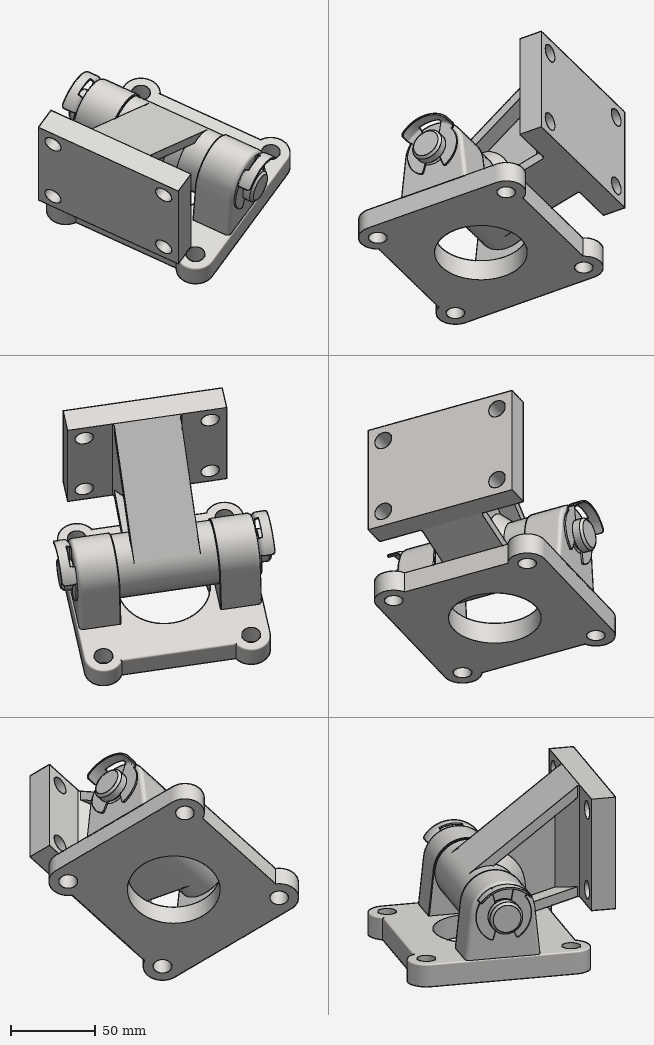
import cadquery as cq
import math

base_size = 112.0
base_waist = 100.0
base_thickness = 14.0
base_hole_spacing = 89.0
base_bore_diameter = 55.0
base_edge_fillet = 1.0
bolt_hole_diameter = 11.0
corner_radius = (base_size - base_hole_spacing) / 2

pin_height = 41.0
lug_radius = 20.0
lug_foot_width = 46.0
lug_outer_span = 110.0
lug_inner_span = 60.0
lug_fillet = 2.5
lug_inner_chamfer = 0.5

flange_width = 96.0
flange_height = 70.0
flange_top = 106.0
flange_inner_y = -base_size / 2
flange_outer_y = -70.9
flange_hole_spacing_x = 76.0
flange_hole_spacing_z = 50.0
hub_radius = 19.0
rib_width = 40.0
rib_flange_thickness = 6.0
web_width = 18.0
web_flare = 12.0
hub_cone_radius = 26.0

pin_radius = 10.0
pin_length = 126.5
pin_chamfer = 1.5
groove_radius = 8.0
groove_width = 1.9

sheet_thickness = 1.0
clip_disc_radius = 17.0
clip_tab_radius = lug_radius
clip_span = 128.5
clip_tab_angle = 107.0
clip_tab_corner = 2.0
clip_inner_bend_radius = 1.0
clip_tip_fillet = 1.2
mouth_axis_half_width = 2.5
mouth_side_angle = 18.0
window_axis_half_width = 3.2
window_side_angle = 12.0
clip_turns = {1: 5.3, -1: 2.3}


def x_cylinder(radius, length):
    """Cylinder on the hinge axis, centred on X = 0."""
    return (
        cq.Workplane("YZ")
        .center(0, pin_height)
        .circle(radius)
        .extrude(length / 2, both=True)
    )


def make_base():
    on_floor = (True, True, False)
    plate = cq.Workplane("XY").box(base_size, base_hole_spacing, base_thickness, centered=on_floor)
    ends = cq.Workplane("XY").box(base_hole_spacing, base_waist, base_thickness, centered=on_floor)
    corners = (
        cq.Workplane("XY")
        .rect(base_hole_spacing, base_hole_spacing, forConstruction=True)
        .vertices()
        .circle(corner_radius)
        .extrude(base_thickness)
    )
    body = plate.union(ends).union(corners).clean()
    body = body.faces(">Z").edges().fillet(base_edge_fillet)
    for side in (1, -1):
        body = body.union(make_lug(side))
    bolt_holes = (
        cq.Workplane("XY")
        .rect(base_hole_spacing, base_hole_spacing, forConstruction=True)
        .vertices()
        .circle(bolt_hole_diameter / 2)
        .extrude(base_thickness)
    )
    bore = cq.Workplane("XY").circle(base_bore_diameter / 2).extrude(base_thickness)
    return body.cut(bolt_holes).cut(bore).cut(x_cylinder(pin_radius, lug_outer_span))


def make_lug(side):
    """Tapered lug with a round top, its sides tangent to the top arc."""
    foot_y = lug_foot_width / 2
    foot_drop = pin_height - base_thickness
    foot_distance = math.hypot(foot_y, foot_drop)
    tangent_angle = math.acos(lug_radius / foot_distance) - math.atan2(foot_drop, foot_y)
    tangent_y = lug_radius * math.cos(tangent_angle)
    tangent_z = pin_height + lug_radius * math.sin(tangent_angle)
    lug = (
        cq.Workplane("YZ", origin=(lug_inner_span / 2, 0, 0))
        .moveTo(-foot_y, base_thickness)
        .lineTo(foot_y, base_thickness)
        .lineTo(tangent_y, tangent_z)
        .threePointArc((0, pin_height + lug_radius), (-tangent_y, tangent_z))
        .close()
        .extrude((lug_outer_span - lug_inner_span) / 2)
    )
    lug = lug.faces(">X").edges("not <Z").fillet(lug_fillet)
    lug = lug.faces("<X").edges("not <Z").chamfer(lug_inner_chamfer)
    return lug if side > 0 else lug.mirror("YZ")


def hub_tangent_point(corner_z, turn):
    """Where the line from a plate corner touches the hub; turn is +1 above, -1 below."""
    rise = corner_z - pin_height
    distance = math.hypot(flange_inner_y, rise)
    direction = math.atan2(rise, flange_inner_y)
    angle = direction - turn * math.acos(hub_radius / distance)
    return hub_radius * math.cos(angle), pin_height + hub_radius * math.sin(angle)


def rib_flange(corner_z, turn):
    """Sloping strip from a plate corner to the hub."""
    tangent_y, tangent_z = hub_tangent_point(corner_z, turn)
    run = tangent_y - flange_inner_y
    slope_length = math.hypot(run, tangent_z - corner_z)
    inward = 1 - rib_flange_thickness / hub_radius
    inner_corner_z = corner_z - turn * rib_flange_thickness * slope_length / run
    return (
        cq.Workplane("YZ")
        .polyline([
            (flange_inner_y, corner_z),
            (tangent_y, tangent_z),
            (tangent_y * inward, pin_height + (tangent_z - pin_height) * inward),
            (flange_inner_y, inner_corner_z),
        ])
        .close()
        .extrude(rib_width / 2, both=True)
    )


def wedge(width):
    """Block between the hub and the plate, bounded by the two sloping faces."""
    bottom_z = flange_top - flange_height
    return (
        cq.Workplane("YZ")
        .polyline([
            (flange_inner_y, flange_top),
            hub_tangent_point(flange_top, 1),
            (0, pin_height),
            hub_tangent_point(bottom_z, -1),
            (flange_inner_y, bottom_z),
        ])
        .close()
        .extrude(width / 2, both=True)
    )


def make_flange():
    bottom_z = flange_top - flange_height
    thickness = flange_inner_y - flange_outer_y
    middle_z = flange_top - flange_height / 2
    plate = (
        cq.Workplane("XZ", origin=(0, flange_inner_y, middle_z))
        .rect(flange_width, flange_height)
        .extrude(thickness)
        .faces("<Y")
        .workplane()
        .rect(flange_hole_spacing_x, flange_hole_spacing_z, forConstruction=True)
        .vertices()
        .hole(bolt_hole_diameter)
    )
    web_half = web_width / 2
    flare_half = web_half + web_flare
    flare = (
        cq.Workplane("XY")
        .polyline([
            (-flare_half, flange_inner_y),
            (flare_half, flange_inner_y),
            (web_half, flange_inner_y + web_flare),
            (-web_half, flange_inner_y + web_flare),
        ])
        .close()
        .extrude(flange_top)
    )
    cone_half = web_half + hub_cone_radius - hub_radius
    hub_cone = (
        cq.Workplane("XY")
        .polyline([
            (-cone_half, 0),
            (-cone_half, hub_radius),
            (-web_half, hub_cone_radius),
            (web_half, hub_cone_radius),
            (cone_half, hub_radius),
            (cone_half, 0),
        ])
        .close()
        .revolve(360, (0, 0, 0), (1, 0, 0))
        .translate((0, 0, pin_height))
    )
    wide_wedge = wedge(2 * flare_half)
    body = plate.union(wedge(web_width))
    body = body.union(flare.intersect(wide_wedge))
    body = body.union(hub_cone.intersect(wide_wedge))
    body = body.union(rib_flange(flange_top, 1))
    body = body.union(rib_flange(bottom_z, -1))
    body = body.union(x_cylinder(hub_radius, lug_inner_span))
    return body.cut(x_cylinder(pin_radius, lug_inner_span))


def make_pin():
    pin = x_cylinder(pin_radius, pin_length).faces("<X or >X").chamfer(pin_chamfer)
    for side in (1, -1):
        groove = (
            cq.Workplane("YZ", origin=(side * lug_outer_span / 2, 0, pin_height))
            .circle(pin_radius)
            .circle(groove_radius)
            .extrude(side * groove_width)
        )
        pin = pin.cut(groove)
    return pin


def tapered_opening(axis_half_width, side_angle, depth, up):
    """Opening from the hinge axis outwards, widening with distance; up is +1 or -1."""
    reach = 2 * clip_disc_radius
    end_half_width = axis_half_width + reach * math.tan(math.radians(side_angle))
    return (
        cq.Workplane("YZ", origin=(lug_outer_span / 2, 0, 0))
        .polyline([
            (-axis_half_width, 0),
            (axis_half_width, 0),
            (end_half_width, up * reach),
            (-end_half_width, up * reach),
        ])
        .close()
        .extrude(depth)
    )


def make_clip(side):
    """Open sheet ring in the pin groove, with a curved tab bent outwards at the top."""
    diagonal = math.sqrt(0.5)
    face_x = lug_outer_span / 2
    bend_radius = clip_tab_radius - clip_disc_radius
    bend_end_x = face_x + bend_radius
    inner_face_x = face_x + sheet_thickness
    tab_inner_radius = clip_tab_radius - sheet_thickness
    inner_centre_x = inner_face_x + clip_inner_bend_radius
    inner_centre_r = tab_inner_radius - clip_inner_bend_radius
    inner_offset = clip_inner_bend_radius * diagonal
    outer_offset = bend_radius * diagonal
    ring = (
        cq.Workplane("YZ", origin=(face_x, 0, 0))
        .circle(clip_disc_radius)
        .circle(groove_radius)
        .extrude(sheet_thickness)
    )
    mouth = tapered_opening(mouth_axis_half_width, mouth_side_angle, sheet_thickness, -1)
    ring = ring.cut(mouth)
    ring = ring.edges("|X").edges("<Z").fillet(clip_tip_fillet)
    tab = (
        cq.Workplane("XY")
        .moveTo(face_x, clip_disc_radius)
        .threePointArc(
            (bend_end_x - outer_offset, clip_disc_radius + outer_offset),
            (bend_end_x, clip_tab_radius),
        )
        .lineTo(clip_span / 2, clip_tab_radius)
        .lineTo(clip_span / 2, tab_inner_radius)
        .lineTo(inner_centre_x, tab_inner_radius)
        .threePointArc(
            (inner_centre_x - inner_offset, inner_centre_r + inner_offset),
            (inner_face_x, inner_centre_r),
        )
        .lineTo(inner_face_x, clip_disc_radius)
        .close()
        .revolve(clip_tab_angle, (0, 0, 0), (1, 0, 0))
        .rotate((0, 0, 0), (1, 0, 0), 90 - clip_tab_angle / 2)
    )
    tab = tab.faces(">X").edges("%LINE").fillet(clip_tab_corner)
    window = tapered_opening(window_axis_half_width, window_side_angle, bend_radius, 1)
    clip = ring.union(tab).cut(window)
    clip = clip.rotate((0, 0, 0), (1, 0, 0), -clip_turns[side]).translate((0, 0, pin_height))
    return clip if side > 0 else clip.mirror("YZ")


base = make_base()
flange = make_flange()
pin = make_pin()
clips = [make_clip(side) for side in (1, -1)]

result = cq.Compound.makeCompound([
    base.val(),
    flange.val(),
    pin.val(),
    *[clip.val() for clip in clips],
])